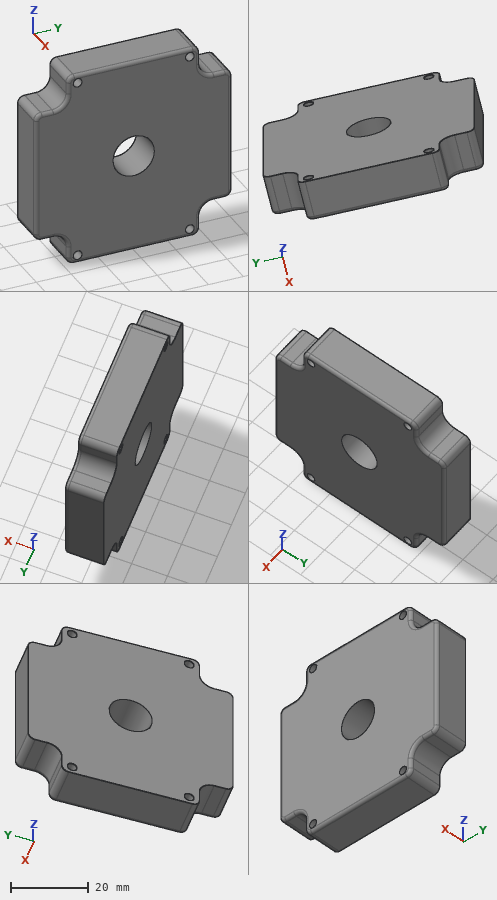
import cadquery as cq

side = 56.4
thickness = 11.0
arm_width = 37.9
outer_corner_radius = 2.0
inner_corner_radius = 4.0
back_edge_radius = 1.0
front_edge_chamfer = 0.1
bore_diameter = 11.8
screw_hole_diameter = 2.5
screw_spacing_y = 32.15
screw_spacing_z = 51.7


def cross_body():
    """Cross-shaped plate in the YZ plane, extruded along +X from X = 0."""
    upright = cq.Workplane("YZ").rect(arm_width, side).extrude(thickness)
    crossbar = cq.Workplane("YZ").rect(side, arm_width).extrude(thickness)
    body = upright.union(crossbar)

    inner_reach = (arm_width + side) / 4
    inner_zone = cq.selectors.BoxSelector(
        (-thickness, -inner_reach, -inner_reach),
        (thickness, inner_reach, inner_reach),
    )
    body = body.edges("|X").edges(inner_zone).fillet(inner_corner_radius)

    outer_corners = body.faces("<Y or >Y or <Z or >Z").edges("|X")
    return outer_corners.fillet(outer_corner_radius)


def screw_holes(plate):
    """Four plain through holes near the ends of the upright arm."""
    return (
        plate.faces("<X")
        .workplane(origin=(0, 0, 0))
        .rect(screw_spacing_y, screw_spacing_z, forConstruction=True)
        .vertices()
        .hole(screw_hole_diameter)
    )


plate = cross_body()
plate = plate.faces(">X").edges().fillet(back_edge_radius)
plate = screw_holes(plate)
plate = plate.faces("<X").edges().chamfer(front_edge_chamfer)
result = plate.faces("<X").workplane(origin=(0, 0, 0)).hole(bore_diameter)